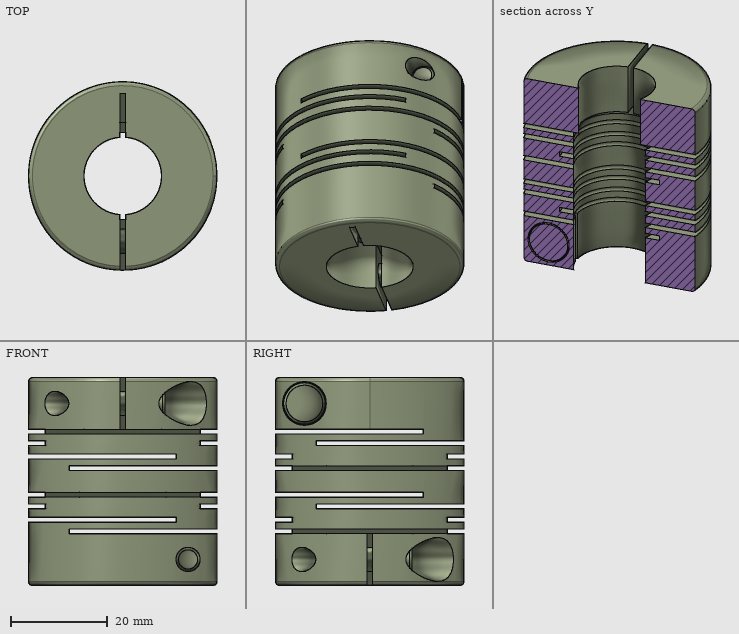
import cadquery as cq

height = 43.0
outer_diameter = 39.0
outer_radius = outer_diameter / 2
rim_radius = 0.8
upper_bore_radius = 8.0
lower_bore_radius = 9.0
centre_height = height / 2

cut_thickness = 0.95
cut_reach = 11.05
cut_pitch = 2.4
pair_spacing = 5.15
group_spacing = 13.07
opening_angles = (-90, 90, 180, 0)

slit_width = 1.2
slit_reach = 17.03

screw_offset = 13.5
screw_end_distance = 5.38
screw_radius = 2.5
tip_chamfer = 0.5
tip_position = -11.0
head_seat = 3.7
head_top = 8.7
head_radius = 4.3
head_chamfer = 0.5
counterbore_radius = 4.5

overrun = outer_radius + 2.15


def cut_levels():
    """Mid-heights of the flexure cuts, from the top down."""
    return [
        centre_height + (group * group_spacing + pair * pair_spacing + cut * cut_pitch) / 2
        for group in (1, -1)
        for pair in (1, -1)
        for cut in (1, -1)
    ]


upper_hub_base = max(cut_levels()) + cut_thickness / 2


def make_body():
    """Round body with rounded rims and a bore that is wider below the upper hub."""
    body = cq.Workplane("XY").circle(outer_radius).extrude(height)
    body = body.edges("%CIRCLE").fillet(rim_radius)
    upper_bore = cq.Workplane("XY").circle(upper_bore_radius).extrude(height)
    lower_bore = cq.Workplane("XY").circle(lower_bore_radius).extrude(upper_hub_base)
    return body.cut(upper_bore).cut(lower_bore)


def flexure_cut(level, opening_angle):
    """Flat cut centred on a level, open towards the given angle about Z."""
    return (
        cq.Workplane("XY")
        .box(overrun + cut_reach, 2 * overrun, cut_thickness)
        .translate(((overrun - cut_reach) / 2, 0, level))
        .rotate((0, 0, 0), (0, 0, 1), opening_angle)
    )


def screw_cylinder(radius, start, end):
    """Cylinder along X on the axis of the upper clamp screw."""
    return (
        cq.Workplane("YZ", origin=(start, -screw_offset, height - screw_end_distance))
        .circle(radius)
        .extrude(end - start)
    )


def make_clamp_space():
    """Upper hub slit, open towards -Y, with the counterbored screw hole across it."""
    slit = (
        cq.Workplane("XY", origin=(0, 0, upper_hub_base))
        .center(0, (slit_reach - overrun) / 2)
        .rect(slit_width, slit_reach + overrun)
        .extrude(height - upper_hub_base)
    )
    hole = screw_cylinder(screw_radius, -overrun, head_seat)
    counterbore = screw_cylinder(counterbore_radius, head_seat, overrun)
    return slit.union(hole).union(counterbore)


def make_screw():
    """Upper clamp screw with a chamfered tip and a chamfered round head."""
    shank = screw_cylinder(screw_radius, tip_position, head_seat)
    shank = shank.faces("<X").chamfer(tip_chamfer)
    head = screw_cylinder(head_radius, head_seat, head_top)
    head = head.faces(">X").chamfer(head_chamfer)
    return shank.union(head)


def to_lower_hub(shape):
    """Carry an upper hub feature to the lower hub, a quarter turn round."""
    mirrored = shape.mirror("XY", (0, 0, centre_height))
    return mirrored.rotate((0, 0, 0), (0, 0, 1), 90)


body = make_body()
for index, level in enumerate(cut_levels()):
    angle = opening_angles[index % len(opening_angles)]
    body = body.cut(flexure_cut(level, angle))

clamp_space = make_clamp_space()
screw = make_screw()
body = body.cut(clamp_space).cut(to_lower_hub(clamp_space))
result = body.union(screw).union(to_lower_hub(screw))